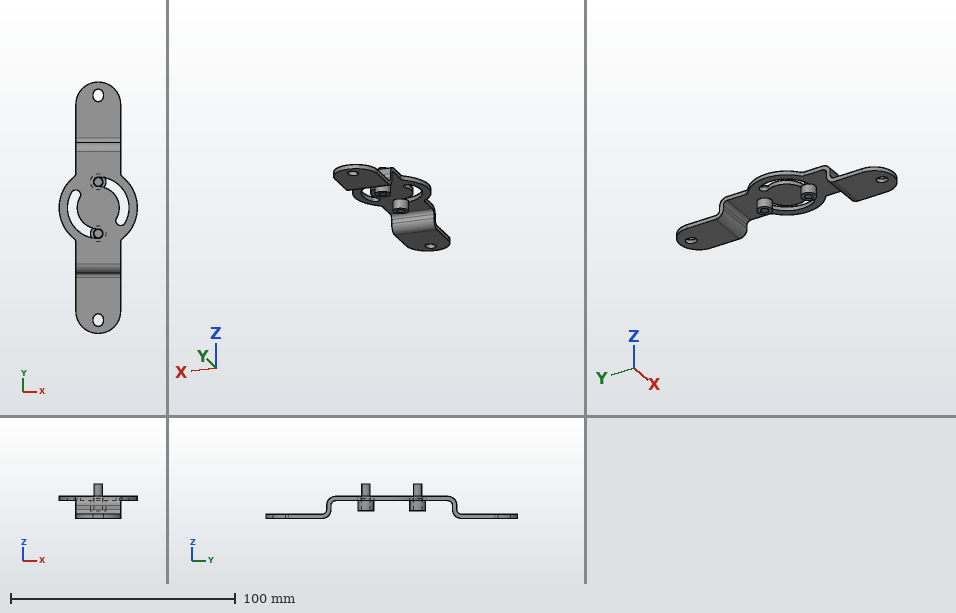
import cadquery as cq
import math

LENGTH = 112.0
STRAP_WIDTH = 20.0
THICKNESS = 2.0
RAISED_TOP = 10.0
BEND_INNER_RADIUS = 2.0
RISER_OUTER_Y = 29.0
RING_DIAMETER = 35.0
RING_CORNER_RADIUS = 2.0

SLOT_PATH_RADIUS = 11.5
SLOT_WIDTH = 4.3
SLOT_SWEEP = 120.0
SLOT_START_ANGLES = (90.0, 270.0)

HOLE_WIDTH = 4.5
HOLE_LENGTH = 5.5
HOLE_SPACING = 100.0

PIN_DIAMETER = 3.8
PIN_LENGTH = 12.0
PIN_TOP = 15.5
SLEEVE_FLANGE_DIAMETER = 7.0
NECK_HEIGHT = 1.0

RAISED_BOTTOM = RAISED_TOP - THICKNESS
SLEEVE_BOTTOM = PIN_TOP - PIN_LENGTH
BEND_OUTER_RADIUS = BEND_INNER_RADIUS + THICKNESS
RISER_INNER_Y = RISER_OUTER_Y - THICKNESS


def round_ring_corners(blank):
    """Round the four inward corners where the ring runs into the strap."""
    half_width = STRAP_WIDTH / 2
    corner_y = math.sqrt((RING_DIAMETER / 2) ** 2 - half_width ** 2)
    reach = 0.1
    for side_x in (-half_width, half_width):
        for side_y in (-corner_y, corner_y):
            corner = cq.selectors.BoxSelector(
                (side_x - reach, side_y - reach, 0),
                (side_x + reach, side_y + reach, RAISED_TOP),
            )
            blank = blank.edges("|Z").edges(corner).fillet(RING_CORNER_RADIUS)
    return blank


def make_outline_blank():
    """Plan outline of the strap as a block of the full strap height."""
    strap = cq.Workplane("XY").slot2D(LENGTH, STRAP_WIDTH, 90).extrude(RAISED_TOP)
    ring = cq.Workplane("XY").circle(RING_DIAMETER / 2).extrude(RAISED_TOP)
    return round_ring_corners(strap.union(ring))


def make_bent_sheet():
    """Bent sheet of constant thickness, as wide as the ring."""
    end_y = LENGTH / 2
    upper_y = RISER_OUTER_Y - BEND_OUTER_RADIUS
    lower_y = RISER_INNER_Y + BEND_OUTER_RADIUS
    upper_z = RAISED_TOP - BEND_OUTER_RADIUS
    lower_z = BEND_OUTER_RADIUS
    diagonal = math.sqrt(0.5)
    outer_offset = BEND_OUTER_RADIUS * diagonal
    inner_offset = BEND_INNER_RADIUS * diagonal
    half_profile = (
        cq.Workplane("YZ")
        .moveTo(0, RAISED_TOP)
        .lineTo(upper_y, RAISED_TOP)
        .threePointArc((upper_y + outer_offset, upper_z + outer_offset), (RISER_OUTER_Y, upper_z))
        .lineTo(RISER_OUTER_Y, lower_z)
        .threePointArc((lower_y - inner_offset, lower_z - inner_offset), (lower_y, THICKNESS))
        .lineTo(end_y, THICKNESS)
        .lineTo(end_y, 0)
        .lineTo(lower_y, 0)
        .threePointArc((lower_y - outer_offset, lower_z - outer_offset), (RISER_INNER_Y, lower_z))
        .lineTo(RISER_INNER_Y, upper_z)
        .threePointArc((upper_y + inner_offset, upper_z + inner_offset), (upper_y, RAISED_BOTTOM))
        .lineTo(0, RAISED_BOTTOM)
        .close()
    )
    half_sheet = half_profile.extrude(RING_DIAMETER / 2, both=True)
    return half_sheet.union(half_sheet.mirror("XZ"))


def polar_point(radius, angle):
    """Point in plan at a radius and an angle in degrees."""
    return (radius * math.cos(math.radians(angle)), radius * math.sin(math.radians(angle)))


def make_curved_slot(start_angle):
    """Cutter for one slot that runs clockwise from its start angle, with round ends."""
    end_angle = start_angle - SLOT_SWEEP
    middle_angle = start_angle - SLOT_SWEEP / 2
    inner_radius = SLOT_PATH_RADIUS - SLOT_WIDTH / 2
    outer_radius = SLOT_PATH_RADIUS + SLOT_WIDTH / 2
    return (
        cq.Workplane("XY")
        .moveTo(*polar_point(outer_radius, start_angle))
        .threePointArc(polar_point(outer_radius, middle_angle), polar_point(outer_radius, end_angle))
        .tangentArcPoint(polar_point(inner_radius, end_angle), relative=False)
        .threePointArc(polar_point(inner_radius, middle_angle), polar_point(inner_radius, start_angle))
        .tangentArcPoint(polar_point(outer_radius, start_angle), relative=False)
        .close()
        .extrude(RAISED_TOP)
    )


def make_strap():
    """Bent strap with the ring, the curved slots and the mounting holes."""
    strap = make_outline_blank().intersect(make_bent_sheet())
    for start_angle in SLOT_START_ANGLES:
        strap = strap.cut(make_curved_slot(start_angle))
    holes = (
        cq.Workplane("XY")
        .pushPoints([(0, -HOLE_SPACING / 2), (0, HOLE_SPACING / 2)])
        .slot2D(HOLE_LENGTH, HOLE_WIDTH, 90)
        .extrude(THICKNESS)
    )
    return strap.cut(holes)


def make_sleeve(x, y):
    """Sleeve with its flange under the raised middle and a short neck inside the curved slot."""
    return (
        cq.Workplane("XY", origin=(x, y, SLEEVE_BOTTOM))
        .circle(SLEEVE_FLANGE_DIAMETER / 2)
        .extrude(RAISED_BOTTOM - SLEEVE_BOTTOM)
        .faces(">Z")
        .workplane()
        .circle(SLOT_WIDTH / 2)
        .extrude(NECK_HEIGHT)
        .faces(">Z")
        .workplane()
        .hole(PIN_DIAMETER)
    )


def make_pin(x, y):
    """Pin that runs from the bottom of a sleeve up through its bore and the curved slot."""
    return (
        cq.Workplane("XY", origin=(x, y, SLEEVE_BOTTOM))
        .circle(PIN_DIAMETER / 2)
        .extrude(PIN_LENGTH)
    )


strap = make_strap()
sleeves = []
pins = []
for start_angle in SLOT_START_ANGLES:
    centre = polar_point(SLOT_PATH_RADIUS, start_angle)
    sleeves.append(make_sleeve(*centre).val())
    pins.append(make_pin(*centre).val())

result = cq.Compound.makeCompound([strap.val(), *sleeves, *pins])